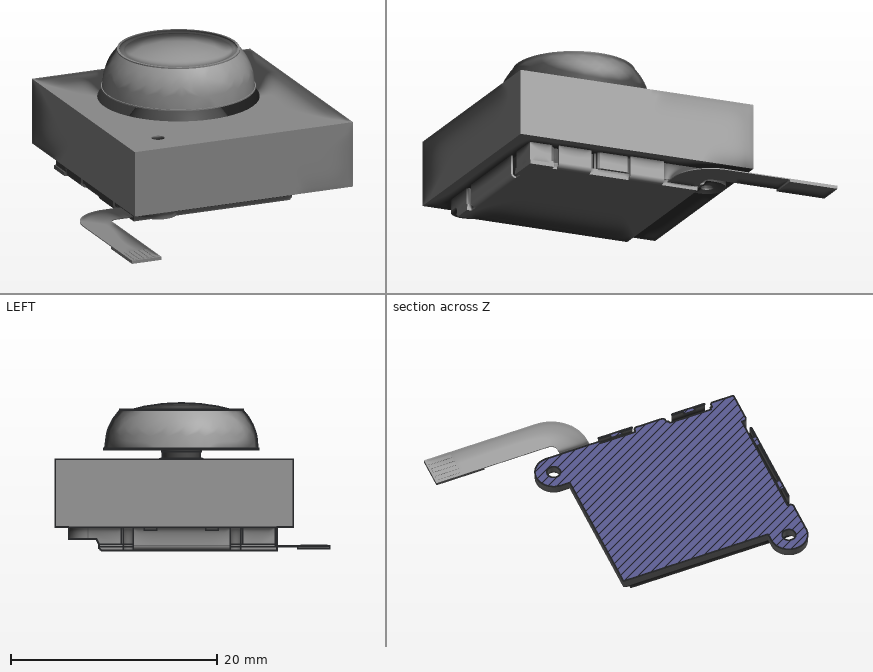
import cadquery as cq
import math

cover_thickness = 0.4
flex_bottom = cover_thickness
base_bottom = 0.65
lug_bottom = 1.12
block_bottom = 2.28
block_top = 8.87
overall_height = 14.33

block_length = 24.77
block_width = 23.1
stick_x = 10.57
stick_y = 10.85
recess_diameter = 15.78
recess_floor = 4.55
screw_hole_diameter = 1.3
lug_diameter = 3.7
lug_centers = [(3.63, 19.95), (21.6, 3.85)]

base_left = lug_centers[0][0] - lug_diameter / 2
base_right = 20.7
base_front = 1.75
base_back = 19.12
base_side_front = lug_centers[1][1] - lug_diameter / 2
right_taper = 0.4
back_taper = 0.25

cover_left = 1.75
cover_right = 19.75
cover_front = 1.57
cover_back = base_back - back_taper
cover_back_chamfer = 0.25
bend_radius = 0.5
tab_thickness = 0.2
tab_top = block_bottom
front_tabs = [(4.8, 8.25), (12.4, 15.97)]
left_tabs = [(6.1, 15.55)]

pocket_depth = 0.5
mouth_chamfer = 0.2
front_pockets = [(4.27, 9.05), (12.35, 15.97)]
left_pockets = [(5.1, 16.48)]
relief_pocket = (4.5, 8.85)
relief_depth = 0.77

nub_height = 0.3
nub_width = 1.2
front_nubs = [6.52, 14.2]
left_nubs = [7.9, 13.85]

tail_thickness = 0.1
tail_end = 32.13
tail_width = 3.12
tail_back = -0.42
bend_inner_radius = 0.67
neck_left = 16.55
stiffener_length = 5.08
stiffener_thickness = 0.22
pad_count = 5
pad_pitch = 0.5
pad_width = 0.42
pad_length = 2.45
pad_height = 0.03
pad_end_gap = 0.22

stem_disc_diameter = 9.65
stem_disc_top = 6.62
stem_collar_diameter = 3.85
neck_diameter = 3.7
neck_bottom = 8.95
neck_top = 9.6

knob_bottom = 9.8
knob_rim_radius = 7.52
knob_rim_height = 0.13
knob_side_radius = 7.42
knob_bulge = (7.07, 11.9)
knob_top_radius = 5.98
knob_top = 13.72
knob_top_rim_height = 0.13
knob_seat_diameter = 11.5
knob_seat_depth = 0.15
dome_diameter = 10.55


def block(x_start, x_end, y_start, y_end, z_start, z_end):
    """Box given by its limits along each axis."""
    size = (x_end - x_start, y_end - y_start, z_end - z_start)
    return cq.Workplane("XY").box(*size, centered=False).translate((x_start, y_start, z_start))


def cylinder(center, diameter, z_start, z_end):
    """Upright cylinder between two levels."""
    return cq.Workplane("XY", origin=(*center, z_start)).circle(diameter / 2).extrude(z_end - z_start)


def revolved(points):
    """Turn an XZ workplane profile that starts and ends on the stick axis."""
    return points.close().revolve(360, (0, 0, 0), (0, 1, 0)).translate((stick_x, stick_y, 0))


def swap_x_and_y(shape):
    """Mirror a shape across the plane X = Y."""
    return shape.mirror("YZ").rotate((0, 0, 0), (0, 0, 1), -90)


def pocket_outline(workplane, start, end, mouth):
    """Plan of a pocket that runs along X and opens toward -Y with a chamfered mouth."""
    back = mouth + pocket_depth
    chamfer_end = mouth + mouth_chamfer
    return workplane.polyline(
        [
            (start - mouth_chamfer, mouth),
            (start, chamfer_end),
            (start, back),
            (end, back),
            (end, chamfer_end),
            (end + mouth_chamfer, mouth),
        ]
    ).close()


def make_base():
    """Low base under the block, its right and back walls leaning in below the lugs."""
    base = block(base_left, base_right, base_front, base_back, base_bottom, block_bottom)
    side_start = front_tabs[-1][1]
    base = base.cut(block(side_start, base_right, base_front, base_side_front, base_bottom, block_bottom))
    right_wedge = (
        cq.Workplane("XZ")
        .moveTo(base_right, lug_bottom)
        .lineTo(base_right, base_bottom)
        .lineTo(base_right - right_taper, base_bottom)
        .close()
        .extrude(-block_width)
    )
    back_wedge = (
        cq.Workplane("YZ")
        .moveTo(base_back, lug_bottom)
        .lineTo(base_back, base_bottom)
        .lineTo(base_back - back_taper, base_bottom)
        .close()
        .extrude(block_length)
    )
    base = base.cut(right_wedge).cut(back_wedge)
    for start, end in front_pockets:
        pocket = pocket_outline(cq.Workplane("XY"), start, end, base_front)
        base = base.cut(pocket.extrude(block_bottom))
    for start, end in left_pockets:
        pocket = pocket_outline(cq.Workplane("XY"), start, end, base_left)
        base = base.cut(swap_x_and_y(pocket.extrude(block_bottom)))
    relief_start, relief_end = relief_pocket
    relief_back = base_front + relief_depth
    base = base.cut(block(relief_start, relief_end, base_front, relief_back, base_bottom, block_bottom))
    return base


def make_lugs():
    """Two round lugs, each joined to the base by a straight web as wide as the lug."""
    radius = lug_diameter / 2
    (back_x, back_y), (right_x, right_y) = lug_centers
    lugs = block(back_x - radius, back_x + radius, base_back - radius, back_y, lug_bottom, block_bottom)
    web = block(base_right - radius, right_x, right_y - radius, right_y + radius, lug_bottom, block_bottom)
    lugs = lugs.union(web)
    for center in lug_centers:
        lugs = lugs.union(cylinder(center, lug_diameter, lug_bottom, block_bottom))
    return lugs


def make_nubs():
    """Latch nubs that reach from the pocket walls to the outside of the tabs."""
    half = nub_width / 2
    bottom = block_bottom - nub_height
    nubs = cq.Workplane("XY")
    for x in front_nubs:
        back = cover_front + pocket_depth
        nubs = nubs.add(block(x - half, x + half, cover_front, back, bottom, block_bottom))
    for y in left_nubs:
        right = cover_left + pocket_depth
        nubs = nubs.add(block(cover_left, right, y - half, y + half, bottom, block_bottom))
    return nubs.combine()


def make_housing():
    """Block, base, lugs and nubs in one piece, with the round recess and the screw holes."""
    housing = block(0, block_length, 0, block_width, block_bottom, block_top)
    housing = housing.union(make_base()).union(make_lugs()).union(make_nubs())
    housing = housing.cut(cylinder((stick_x, stick_y), recess_diameter, recess_floor, block_top))
    for center in lug_centers:
        housing = housing.cut(cylinder(center, screw_hole_diameter, lug_bottom, block_top))
    return housing


def tab_profile(workplane, outside):
    """Section of a tab folded up from the cover plate, its outer face at `outside`."""
    inner_radius = bend_radius - tab_thickness
    inside = outside + tab_thickness
    bend_end = outside + bend_radius
    corner = math.sqrt(0.5)
    return (
        workplane.moveTo(outside, tab_top)
        .lineTo(outside, bend_radius)
        .threePointArc((bend_end - bend_radius * corner, bend_radius * (1 - corner)), (bend_end, 0))
        .lineTo(bend_end, tab_thickness)
        .threePointArc(
            (bend_end - inner_radius * corner, bend_radius - inner_radius * corner),
            (inside, bend_radius),
        )
        .lineTo(inside, tab_top)
        .close()
    )


def cut_tab_reliefs(sheet):
    """Cut the front and left edges of a sheet back to the ends of the tab bends."""
    front_start = front_pockets[0][0]
    bend_back = cover_front + bend_radius
    bend_right = cover_left + bend_radius
    sheet = sheet.cut(block(front_start, cover_right, cover_front, bend_back, 0, base_bottom))
    for start, end in left_pockets:
        sheet = sheet.cut(block(cover_left, bend_right, start, end, 0, base_bottom))
    return sheet


def make_cover():
    """Flat plate with its edges relieved at the tabs, with tabs folded up and windows for the nubs."""
    cover = block(cover_left, cover_right, cover_front, cover_back, 0, cover_thickness)
    cover = cover.faces("<Z").edges(">Y").chamfer(cover_back_chamfer)
    cover = cut_tab_reliefs(cover)
    for start, end in front_tabs:
        profile = tab_profile(cq.Workplane("YZ", origin=(start, 0, 0)), cover_front)
        cover = cover.union(profile.extrude(end - start))
    for start, end in left_tabs:
        profile = tab_profile(cq.Workplane("XZ", origin=(0, end, 0)), cover_left)
        cover = cover.union(profile.extrude(end - start))
    return cover.cut(make_nubs())


def make_flex():
    """Sheet under the base, with a tail that turns through a quarter bend to the right."""
    outer_radius = bend_inner_radius + tail_width
    bend_x = neck_left + outer_radius
    bend_y = tail_back + bend_inner_radius
    tail_front = tail_back - tail_width
    corner = math.sqrt(0.5)
    neck_back = cover_front + bend_radius
    sheet = block(base_left, cover_right, base_front, cover_back, flex_bottom, base_bottom)
    sheet = cut_tab_reliefs(sheet)
    tail = (
        cq.Workplane("XY", origin=(0, 0, flex_bottom))
        .moveTo(neck_left, neck_back)
        .lineTo(neck_left, bend_y)
        .threePointArc((bend_x - outer_radius * corner, bend_y - outer_radius * corner), (bend_x, tail_front))
        .lineTo(tail_end, tail_front)
        .lineTo(tail_end, tail_back)
        .lineTo(bend_x, tail_back)
        .threePointArc(
            (bend_x - bend_inner_radius * corner, bend_y - bend_inner_radius * corner),
            (bend_x - bend_inner_radius, bend_y),
        )
        .lineTo(bend_x - bend_inner_radius, neck_back)
        .close()
        .extrude(tail_thickness)
    )
    stiffener_start = tail_end - stiffener_length
    stiffener_bottom = flex_bottom - stiffener_thickness
    stiffener = block(stiffener_start, tail_end, tail_front, tail_back, stiffener_bottom, flex_bottom)
    flex = sheet.union(tail).union(stiffener)
    pad_end = tail_end - pad_end_gap
    pad_start = pad_end - pad_length
    pad_bottom = flex_bottom + tail_thickness
    tail_middle = (tail_front + tail_back) / 2
    for index in range(pad_count):
        pad_front = tail_middle + (index - (pad_count - 1) / 2) * pad_pitch - pad_width / 2
        pad_back = pad_front + pad_width
        pad = block(pad_start, pad_end, pad_front, pad_back, pad_bottom, pad_bottom + pad_height)
        flex = flex.union(pad)
    return flex


def make_stem():
    """Disc resting on the recess floor, domed up to a necked post under the knob."""
    disc_radius = stem_disc_diameter / 2
    collar_radius = stem_collar_diameter / 2
    neck_radius = neck_diameter / 2
    level_sum = stem_disc_top + neck_bottom
    level_gap = neck_bottom - stem_disc_top
    sphere_z = (level_sum - (disc_radius**2 - collar_radius**2) / level_gap) / 2
    sphere_radius = math.hypot(disc_radius, stem_disc_top - sphere_z)
    dome_middle = (disc_radius + collar_radius) / 2
    dome_middle_z = sphere_z + math.sqrt(sphere_radius**2 - dome_middle**2)
    profile = (
        cq.Workplane("XZ")
        .moveTo(0, recess_floor)
        .lineTo(disc_radius, recess_floor)
        .lineTo(disc_radius, stem_disc_top)
        .threePointArc((dome_middle, dome_middle_z), (collar_radius, neck_bottom))
        .lineTo(neck_radius, neck_bottom)
        .lineTo(neck_radius, neck_top)
        .lineTo(collar_radius, neck_top)
        .lineTo(collar_radius, knob_bottom)
        .lineTo(0, knob_bottom)
    )
    return revolved(profile)


def make_knob():
    """Bulged knob with a shallow seat in its top and a low dome in the seat."""
    rim_top = knob_bottom + knob_rim_height
    side_top = knob_top - knob_top_rim_height
    seat_floor = knob_top - knob_seat_depth
    dome_radius = dome_diameter / 2
    dome_height = overall_height - seat_floor
    sphere_radius = (dome_radius**2 + dome_height**2) / (2 * dome_height)
    half_way = dome_radius / 2
    half_way_z = overall_height - sphere_radius + math.sqrt(sphere_radius**2 - half_way**2)
    profile = (
        cq.Workplane("XZ")
        .moveTo(0, knob_bottom)
        .lineTo(knob_rim_radius, knob_bottom)
        .lineTo(knob_rim_radius, rim_top)
        .lineTo(knob_side_radius, rim_top)
        .threePointArc(knob_bulge, (knob_top_radius, side_top))
        .lineTo(knob_top_radius, knob_top)
        .lineTo(knob_seat_diameter / 2, knob_top)
        .lineTo(knob_seat_diameter / 2, seat_floor)
        .lineTo(dome_radius, seat_floor)
        .threePointArc((half_way, half_way_z), (0, overall_height))
    )
    return revolved(profile)


housing = make_housing()
cover = make_cover()
flex = make_flex()
stem = make_stem()
knob = make_knob()

result = cq.Compound.makeCompound([housing.val(), cover.val(), flex.val(), stem.val(), knob.val()])